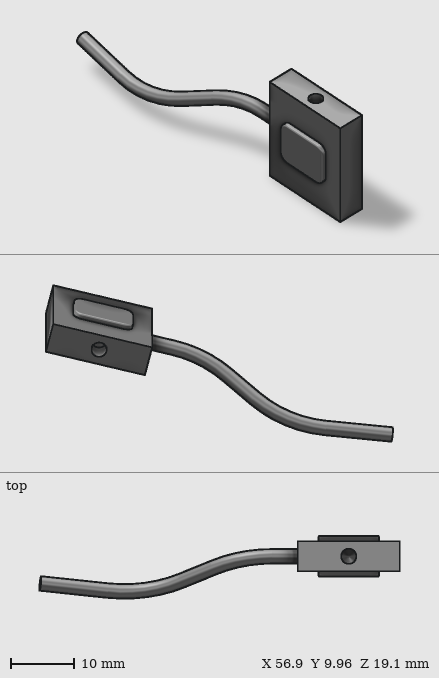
import cadquery as cq
import math

BLOCK_WIDTH = 16.1
BLOCK_THICKNESS = 4.8
BLOCK_HEIGHT = 19.05

PAD_WIDTH = 9.55
PAD_HEIGHT = 7.6
PAD_RAISE = 0.85
PAD_CORNER_RADIUS = 1.5
PAD_EDGE_RADIUS = 0.3

HOLE_DIAMETER = 2.4
HOLE_DEPTH = 4.55
DRILL_POINT_ANGLE = 118

OVERALL_LENGTH = 56.9
CABLE_DIAMETER = 2.35
CABLE_STUB = 4.05
CABLE_BEND_RADIUS = 18.2
CABLE_MIDDLE = 5.9
CABLE_SLOPE = math.radians(30)
TAIL_RISE = math.radians(8.5)


def make_block():
    return cq.Workplane("XY").box(BLOCK_WIDTH, BLOCK_THICKNESS, BLOCK_HEIGHT)


def make_pads():
    """One rounded slab through the block, standing proud of both faces."""
    return (
        cq.Workplane("XY")
        .box(PAD_WIDTH, BLOCK_THICKNESS + 2 * PAD_RAISE, PAD_HEIGHT)
        .edges("|Y")
        .fillet(PAD_CORNER_RADIUS)
        .faces("<Y or >Y")
        .edges()
        .fillet(PAD_EDGE_RADIUS)
    )


def make_end_hole():
    """Cylinder with a drill point, entering from the top face."""
    radius = HOLE_DIAMETER / 2
    top = BLOCK_HEIGHT / 2
    bottom = top - HOLE_DEPTH
    tip = bottom - radius / math.tan(math.radians(DRILL_POINT_ANGLE / 2))
    return (
        cq.Workplane("XZ")
        .polyline([(0, top), (radius, top), (radius, bottom), (0, tip)])
        .close()
        .revolve(360, (0, 0), (0, 1))
    )


def make_cable():
    """Round cable swept along straight runs joined by two tangent bends."""
    start_x = -BLOCK_WIDTH / 2
    radius = CABLE_BEND_RADIUS
    bend_plane = cq.Plane(origin=(start_x, 0, 0), xDir=(-1, 0, 0), normal=(0, -1, 1))

    first_centre = (CABLE_STUB, radius)
    first_end = on_bend(first_centre, CABLE_SLOPE, -1)
    second_start = (
        first_end[0] + CABLE_MIDDLE * math.cos(CABLE_SLOPE),
        first_end[1] + CABLE_MIDDLE * math.sin(CABLE_SLOPE),
    )
    second_centre = (
        second_start[0] + radius * math.sin(CABLE_SLOPE),
        second_start[1] - radius * math.cos(CABLE_SLOPE),
    )
    second_end = on_bend(second_centre, -TAIL_RISE, 1)

    rim_reach = CABLE_DIAMETER / 2 * math.sin(TAIL_RISE)
    end_distance = OVERALL_LENGTH - BLOCK_WIDTH - rim_reach
    end_drop = second_end[1] - (end_distance - second_end[0]) * math.tan(TAIL_RISE)

    path = (
        cq.Workplane(bend_plane)
        .lineTo(CABLE_STUB, 0)
        .threePointArc(on_bend(first_centre, CABLE_SLOPE / 2, -1), first_end)
        .lineTo(*second_start)
        .threePointArc(on_bend(second_centre, 0, 1), second_end)
        .lineTo(end_distance, end_drop)
    )
    section = cq.Workplane("YZ", origin=(start_x, 0, 0)).circle(CABLE_DIAMETER / 2)
    return section.sweep(path)


def on_bend(centre, slope, side):
    """Point where a bend has the given slope; side is +1 or -1 across the cable."""
    return (
        centre[0] - side * CABLE_BEND_RADIUS * math.sin(slope),
        centre[1] + side * CABLE_BEND_RADIUS * math.cos(slope),
    )


top_hole = make_end_hole()
bottom_hole = top_hole.mirror("XY")

result = (
    make_block()
    .union(make_pads())
    .cut(top_hole)
    .cut(bottom_hole)
    .union(make_cable())
)